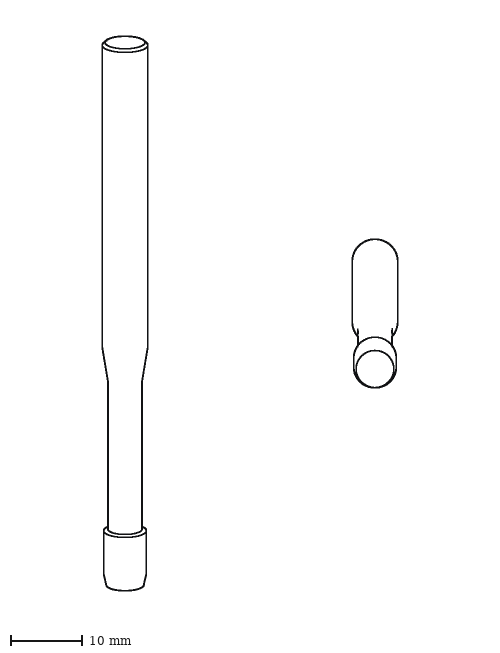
import cadquery as cq

total_length = 80.0
shank_radius = 3.2
shank_chamfer = 0.4
shank_length = 45.0
taper_length = 5.0
neck_radius = 2.4

head_radius = 3.0
shoulder_height = 8.0
shoulder_rise = 0.2
tip_radius = 2.6
tip_length = 1.6

shank_bottom = total_length - shank_length
taper_bottom = shank_bottom - taper_length
head_length = shoulder_height + shoulder_rise


def make_holder():
    """Chamfered shank tapering to a slim neck that ends on the head."""
    profile = [
        (0, head_length),
        (neck_radius, head_length),
        (neck_radius, taper_bottom),
        (shank_radius, shank_bottom),
        (shank_radius, total_length - shank_chamfer),
        (shank_radius - shank_chamfer, total_length),
        (0, total_length),
    ]
    return cq.Workplane("XZ").polyline(profile).close().revolve(360, (0, 0), (0, 1))


def make_head():
    """Cylindrical head with a flat-ended conical tip and a shallow conical shoulder meeting the neck."""
    profile = [
        (0, 0),
        (tip_radius, 0),
        (head_radius, tip_length),
        (head_radius, shoulder_height),
        (neck_radius, head_length),
        (0, head_length),
    ]
    return cq.Workplane("XZ").polyline(profile).close().revolve(360, (0, 0), (0, 1))


holder = make_holder()
head = make_head()
result = cq.Compound.makeCompound([holder.val(), head.val()])